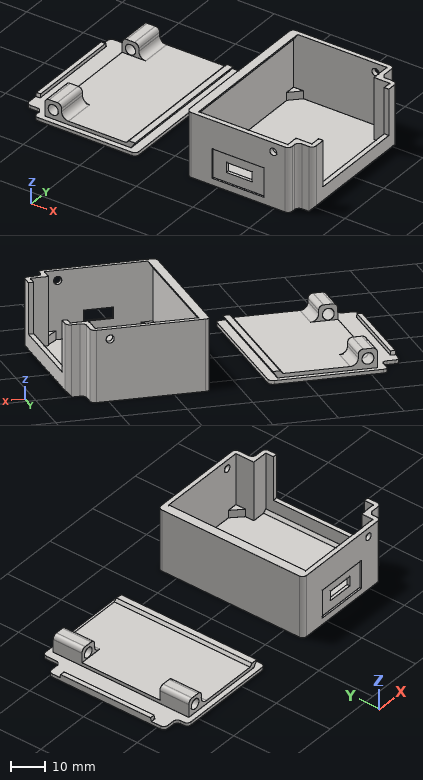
import cadquery as cq

total_length = 101.6
width = 54.2
case_length = 41.9
tongue_reach = 5.6
tongue_width = 43.3
tongue_center_y = -1.2
corner_radius = 1.5
wall = 1.6
lap_width = 33.7
lap_center_y = -0.9

box_height = 22.5
floor = 1.0
box_left = total_length / 2 - case_length
box_right = total_length / 2
box_shoulder = box_right - tongue_reach
tongue_chamfer = 1.6
inner_bevel = 1.0
catch_reach = 1.5
catch_depth = 2.2
gusset_leg = 3.6
gusset_height = 2.7
notch_bottom = 6.5
pivot_diameter = 2.4
pivot_offset_x = 30.6
pivot_z = 19.3
window_left = 8.9
window_bottom = 2.4
window_length = 18.3
window_height = 10.2
window_depth = 0.6
slot_length = 9.0
slot_height = 3.5

lid_left = -total_length / 2
lid_right = lid_left + case_length
lid_shoulder = lid_left + tongue_reach
plate = 1.2
pad_height = 1.2
pad_top = plate + pad_height
pad_margin = 1.8
pad_left = lid_left + 8.3
pad_right = lid_right - wall
pad_width = width - 2 * pad_margin
lip_height = 0.9
lip_width = 2.2
lip_undercut = 1.4
hinge_width = 5.9
hinge_length = 10.8
hinge_top = 7.4
hinge_round = 1.5
hinge_fillet = 2.4
hinge_bore = 3.6
hinge_bore_z = 4.4
strip_taper = 0.3


def stepped_outline(main_end, shoulder, tongue_end, height, inset=0.0):
    """Prism of the main rectangle plus its tongue, moved inward by inset."""
    side = 1 if tongue_end > main_end else -1
    x_main = main_end + side * inset
    x_shoulder = shoulder - side * inset
    x_tongue = tongue_end - side * inset
    half_width = width / 2 - inset
    tongue_half = tongue_width / 2 - inset
    tongue_top = tongue_center_y + tongue_half
    tongue_bottom = tongue_center_y - tongue_half
    return (
        cq.Workplane("XY")
        .polyline([
            (x_main, -half_width),
            (x_shoulder, -half_width),
            (x_shoulder, tongue_bottom),
            (x_tongue, tongue_bottom),
            (x_tongue, tongue_top),
            (x_shoulder, tongue_top),
            (x_shoulder, half_width),
            (x_main, half_width),
        ])
        .close()
        .extrude(height)
    )


def profile_along_y(points, length):
    """Prism of an XZ outline, centred on the XZ plane."""
    return cq.Workplane("XZ").polyline(points).close().extrude(length / 2, both=True)


def block(x_min, x_max, y_min, y_max, z_min, z_max):
    size = (x_max - x_min, y_max - y_min, z_max - z_min)
    return cq.Workplane("XY").box(*size, centered=False).translate((x_min, y_min, z_min))


def make_bevel(x, z, leg):
    """45 degree wedge along Y that fills the lower corner at x, z."""
    return profile_along_y([(x - leg, z), (x, z), (x, z + leg)], width)


def make_gusset(x, y, side_x, side_y):
    """Low triangular corner block whose right angle sits at x, y."""
    return (
        cq.Workplane("XY")
        .workplane(offset=floor)
        .polyline([(x, y), (x + side_x * gusset_leg, y), (x, y + side_y * gusset_leg)])
        .close()
        .extrude(gusset_height)
    )


def make_cavity():
    cavity = stepped_outline(box_left, box_shoulder, box_right, box_height, wall)
    cavity = cavity.translate((0, 0, floor))
    cavity = cavity.cut(make_bevel(box_right - wall, floor, inner_bevel))
    x_wall = box_left + wall
    catch = profile_along_y(
        [(x_wall, box_height - catch_depth), (x_wall + catch_reach, box_height), (x_wall, box_height)],
        width,
    )
    cavity = cavity.cut(catch)
    inner_half = width / 2 - wall
    for side_y in (-1, 1):
        for x, side_x in ((x_wall, 1), (box_shoulder - wall, -1)):
            cavity = cavity.cut(make_gusset(x, side_y * inner_half, side_x, -side_y))
    return cavity


def make_window():
    """Shallow recess in the front wall with a slot through its middle."""
    x_middle = box_left + window_left + window_length / 2
    z_middle = window_bottom + window_height / 2
    y_front = -width / 2
    recess = block(
        x_middle - window_length / 2, x_middle + window_length / 2,
        y_front, y_front + window_depth,
        z_middle - window_height / 2, z_middle + window_height / 2,
    )
    slot = block(
        x_middle - slot_length / 2, x_middle + slot_length / 2,
        y_front, y_front + wall,
        z_middle - slot_height / 2, z_middle + slot_height / 2,
    )
    return recess.union(slot)


def make_box():
    box = stepped_outline(box_left, box_shoulder, box_right, box_height)
    box = box.edges("|Z").fillet(corner_radius)
    box = box.cut(make_bevel(box_right, 0, tongue_chamfer))
    box = box.cut(make_cavity())
    notch = block(
        box_right - wall, box_right,
        lap_center_y - lap_width / 2, lap_center_y + lap_width / 2,
        notch_bottom, box_height,
    )
    pivot_holes = (
        cq.Workplane("XZ")
        .center(box_left + pivot_offset_x, pivot_z)
        .circle(pivot_diameter / 2)
        .extrude(width, both=True)
    )
    return box.cut(notch).cut(pivot_holes).cut(make_window())


def make_pad():
    """Raised pad with an undercut snap lip along its plain end."""
    lip_top = pad_top + lip_height
    lip_left = pad_right - lip_width
    return profile_along_y(
        [
            (pad_left, plate),
            (pad_right - lip_undercut, plate),
            (pad_right, lip_top),
            (lip_left, lip_top),
            (lip_left - lip_height, pad_top),
            (pad_left, pad_top),
        ],
        pad_width,
    )


def make_hinge():
    """Hinge block, rounded on top and blended into the pad, and its bore."""
    right = pad_left + hinge_width
    knuckle = (
        cq.Workplane("XZ")
        .moveTo(pad_left, plate)
        .lineTo(pad_left, hinge_top - hinge_round)
        .radiusArc((pad_left + hinge_round, hinge_top), hinge_round)
        .lineTo(right - hinge_round, hinge_top)
        .radiusArc((right, hinge_top - hinge_round), hinge_round)
        .lineTo(right, pad_top + hinge_fillet)
        .radiusArc((right + hinge_fillet, pad_top), -hinge_fillet)
        .lineTo(right + hinge_fillet, plate)
        .close()
        .extrude(hinge_length / 2, both=True)
    )
    bore = (
        cq.Workplane("XZ")
        .center(pad_left + hinge_width / 2, hinge_bore_z)
        .circle(hinge_bore / 2)
        .extrude(hinge_length / 2, both=True)
    )
    return knuckle, bore


def make_strip():
    """Strip on the tongue that closes the box notch; its ends lean inward."""
    base_half = lap_width / 2 + strip_taper / 2
    top_half = base_half - strip_taper
    return (
        cq.Workplane("YZ")
        .polyline([(-base_half, plate), (base_half, plate), (top_half, pad_top), (-top_half, pad_top)])
        .close()
        .extrude(wall)
        .translate((lid_left, lap_center_y, 0))
    )


def make_lid():
    lid = stepped_outline(lid_right, lid_shoulder, lid_left, plate)
    lid = lid.edges("|Z").fillet(corner_radius)
    lid = lid.union(make_pad()).union(make_strip())
    knuckle, bore = make_hinge()
    hinge_y = (pad_width - hinge_length) / 2
    for center_y in (-hinge_y, hinge_y):
        lid = lid.union(knuckle.translate((0, center_y, 0)))
        lid = lid.cut(bore.translate((0, center_y, 0)))
    return lid


box = make_box()
lid = make_lid()
result = cq.Compound.makeCompound([box.val(), lid.val()])